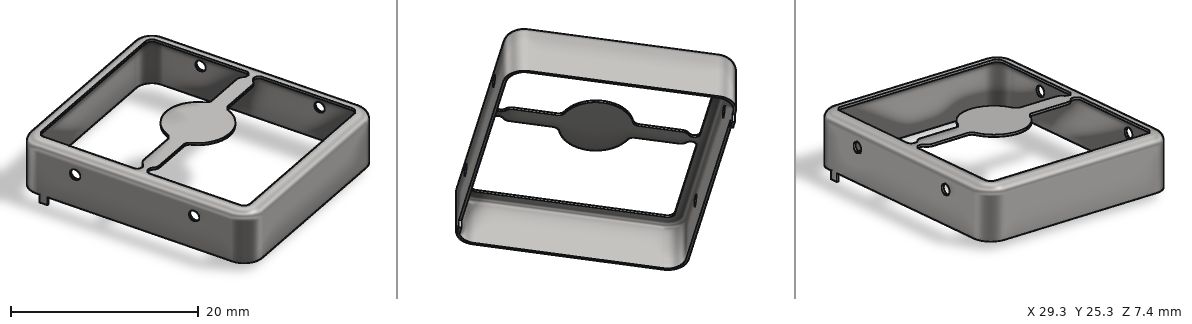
import cadquery as cq

length = 29.3
width = 25.3
body_height = 6.4
wall = 0.3
corner_radius = 2.3
top_radius = 1.1
rim_width = 1.5

disc_diameter = 8.0
arm_width = 2.0
neck_width = 0.8
neck_length = 0.95
neck_fillet = 0.6
disc_fillet = 0.8
rim_overlap = 0.2

hole_diameter = 1.3
hole_offset = 7.5
hole_depth = 2.3

tab_width = 1.0
tab_length = 1.0
tab_offset = 11.5

window_length = length - 2 * rim_width
window_width = width - 2 * rim_width
arms_span = window_width - 2 * neck_length
sheet_bottom = body_height - wall


def rounded_block(size_x, size_y, height, radius):
    """Block standing on Z = 0 with rounded vertical edges."""
    return cq.Workplane("XY").rect(size_x, size_y).extrude(height).edges("|Z").fillet(radius)


def rounded_cap(inset):
    """Solid cap whose faces lie inset from the outer frame faces."""
    block = rounded_block(
        length - 2 * inset,
        width - 2 * inset,
        body_height - inset,
        corner_radius - inset,
    )
    return block.faces(">Z").edges().fillet(top_radius - inset)


def make_frame():
    """Hollow cap, open at the bottom, with a large window in its top face."""
    window = rounded_block(window_length, window_width, body_height, corner_radius - rim_width)
    return rounded_cap(0).cut(rounded_cap(wall)).cut(window)


def make_bridge():
    """Flat strip across the window, without its fillets."""
    sheet = cq.Workplane("XY").workplane(offset=sheet_bottom)
    disc = sheet.circle(disc_diameter / 2).extrude(wall)
    arms = sheet.slot2D(arms_span, arm_width, 90).extrude(wall)
    necks = sheet.rect(neck_width, window_width + 2 * rim_overlap).extrude(wall)
    return disc.union(arms).union(necks)


def bridge_band(half_width, y_near, y_far):
    """Selector for edges near the bridge with y_near < |Y| < y_far."""
    bands = [
        cq.selectors.BoxSelector(
            (-half_width, side * y_near, sheet_bottom),
            (half_width, side * y_far, body_height),
        )
        for side in (-1, 1)
    ]
    return bands[0] + bands[1]


def fillet_bridge(part):
    """Round the inner corners at the disc and at both ends of each neck."""
    disc_corners = bridge_band(arm_width, disc_diameter / 4, disc_diameter / 2)
    neck_start = arms_span / 2 - arm_width / 4
    neck_end = window_width / 2 + rim_overlap / 2
    neck_corners = bridge_band(neck_width, neck_start, neck_end)
    part = part.edges("|Z").edges(disc_corners).fillet(disc_fillet)
    return part.edges("|Z").edges(neck_corners).fillet(neck_fillet)


def make_holes():
    """Cutters running through both long walls."""
    hole_z = body_height - hole_depth
    centres = [(-hole_offset, hole_z), (hole_offset, hole_z)]
    return cq.Workplane("XZ").pushPoints(centres).circle(hole_diameter / 2).extrude(width, both=True)


def make_tab(side):
    """Tab flush with the outer face of one long wall (side -1 or 1)."""
    centre_y = side * (width - wall) / 2
    return (
        cq.Workplane("XY")
        .center(side * tab_offset, centre_y)
        .rect(tab_width, wall)
        .extrude(-tab_length)
    )


result = fillet_bridge(make_frame().union(make_bridge()))
result = result.cut(make_holes())
for wall_side in (-1, 1):
    result = result.union(make_tab(wall_side))